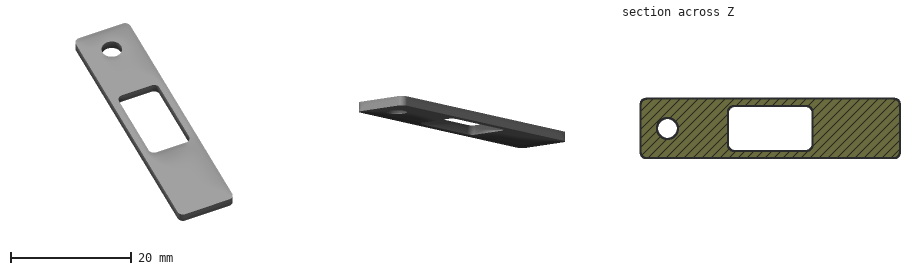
import cadquery as cq

length = 43.2
width = 10.0
thickness = 1.6
corner_radius = 1.0

window_length = 14.0
window_width = 7.4

hole_diameter = 3.4
hole_end_distance = 4.5
hole_x = hole_end_distance - length / 2


def rounded_block(block_length, block_width):
    """Centred block of plate thickness with rounded vertical corners."""
    block = cq.Workplane("XY").box(block_length, block_width, thickness)
    return block.edges("|Z").fillet(corner_radius)


plate = rounded_block(length, width)
window = rounded_block(window_length, window_width)

result = (
    plate.cut(window)
    .faces(">Z")
    .workplane(origin=(0, 0, 0))
    .center(hole_x, 0)
    .hole(hole_diameter)
)